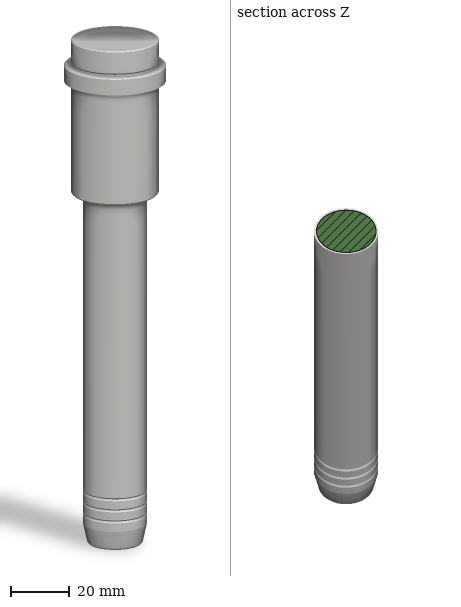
import cadquery as cq

length = 180.0
head_radius = 30.0 / 2
collar_radius = 35.0 / 2
shaft_radius = 22.0 / 2

collar_top = length - 9.0
collar_bottom = length - 15.0
head_bottom = length - 55.0
shaft_top = length - 56.0
nose_top = 7.0

edge_chamfer = 0.5
collar_chamfer = 0.4
top_chamfer = 0.4
relief_depth = 0.5
neck_radius = 20.5 / 2

nose_end_radius = 9.5

groove_count = 3
groove_pitch = 4.0
groove_depth = 0.5
first_groove_level = 10.6


def cylinder(radius, bottom, top):
    """Solid cylinder about the pin axis between two levels."""
    return cq.Workplane("XY").workplane(offset=bottom).circle(radius).extrude(top - bottom)


def ring_groove(radius, center_level, depth):
    """Ring that cuts a 90 degree V groove into a cylinder of the given radius."""
    return (
        cq.Workplane("XZ")
        .moveTo(radius - depth, center_level)
        .lineTo(radius, center_level + depth)
        .lineTo(radius, center_level - depth)
        .close()
        .revolve(360, (0, 0, 0), (0, 1, 0))
    )


def make_head():
    """Chamfered head with a relief groove on each side of its collar."""
    head = cylinder(head_radius, head_bottom, length).faces("<Z").chamfer(edge_chamfer)
    head = head.faces(">Z").chamfer(top_chamfer)
    for relief_level in (collar_top + relief_depth, collar_bottom - relief_depth):
        head = head.cut(ring_groove(head_radius, relief_level, relief_depth))
    collar = cylinder(collar_radius, collar_bottom, collar_top).faces(">Z").edges()
    return head.union(collar.chamfer(collar_chamfer))


def make_nose():
    """Nose narrowing from the shaft to a chamfered tip."""
    return (
        cq.Workplane("XZ")
        .lineTo(nose_end_radius - edge_chamfer, 0)
        .lineTo(nose_end_radius, edge_chamfer)
        .lineTo(shaft_radius, nose_top)
        .lineTo(0, nose_top)
        .close()
        .revolve(360, (0, 0, 0), (0, 1, 0))
    )


def make_shaft():
    """Plain shaft with evenly spaced oil grooves above the nose."""
    shaft = cylinder(shaft_radius, nose_top, shaft_top)
    for index in range(groove_count):
        level = first_groove_level + index * groove_pitch
        shaft = shaft.cut(ring_groove(shaft_radius, level, groove_depth))
    return shaft


neck = cylinder(neck_radius, shaft_top, head_bottom)
result = make_nose().union(make_shaft()).union(neck).union(make_head())